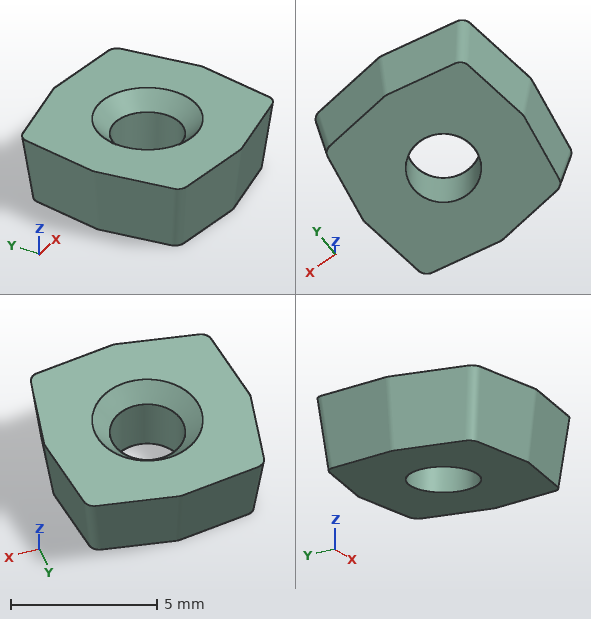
import cadquery as cq
import math

width = 7.4
thickness = 2.6
clearance_angle = 7.0
side_slope_angle = 9.0
corner_radius = 0.4
crest_radius = 0.5
hole_diameter = 2.58
countersink_diameter = 3.79
countersink_angle = 90.0

slope = math.radians(side_slope_angle)
crest_trim = crest_radius * (1 / math.cos(slope) - 1)
crest_reach = width / 2 + crest_trim
corner_reach = crest_reach / (1 + math.tan(slope))


def insert_outline():
    """Eight points, alternating side crests and corners, around the centre."""
    points = []
    for quarter in range(4):
        turn = math.radians(90 * quarter)
        c = math.cos(turn)
        s = math.sin(turn)
        for x, y in [(crest_reach, 0), (corner_reach, corner_reach)]:
            points.append((x * c - y * s, x * s + y * c))
    return points


def insert_body():
    """Top face tapered down to the smaller base, with rounded side edges."""
    body = (
        cq.Workplane("XY")
        .workplane(offset=thickness)
        .polyline(insert_outline())
        .close()
        .extrude(-thickness, taper=clearance_angle)
    )
    side_edges = body.edges("not(#Z)")
    corners = side_edges.filter(lambda e: min(abs(e.Center().x), abs(e.Center().y)) > width / 4)
    body = body.newObject(corners.vals()).fillet(corner_radius)

    crests = body.edges("not(#Z)").filter(
        lambda e: min(abs(e.Center().x), abs(e.Center().y)) < crest_radius / 10
    )
    return body.newObject(crests.vals()).fillet(crest_radius)


result = (
    insert_body()
    .faces(">Z")
    .workplane(origin=(0, 0, thickness))
    .cskHole(hole_diameter, countersink_diameter, countersink_angle)
)